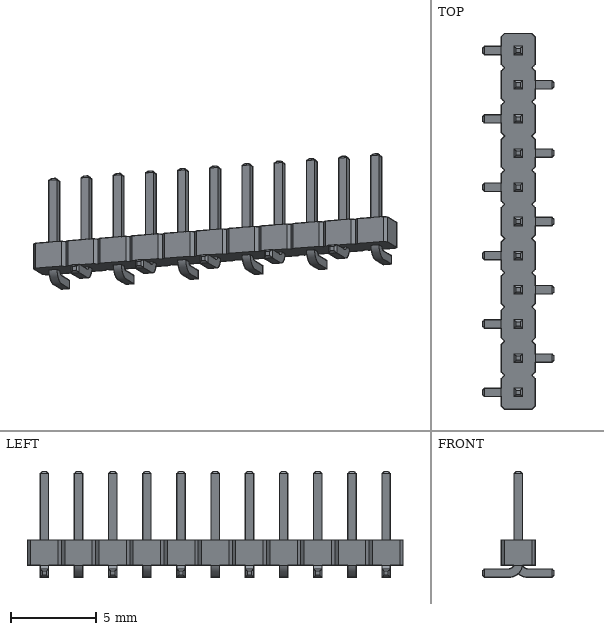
import cadquery as cq

LENGTH = 22.0
PIN_COUNT = 11
PITCH = LENGTH / PIN_COUNT
LEG_SPAN = 4.2
TOTAL_HEIGHT = 6.2

BODY_WIDTH = PITCH
BODY_HEIGHT = 1.5
CORNER_CUT = 0.2

PIN_SIZE = 0.5
PIN_RISE = 4.0
TIP_CHAMFER = 0.13
BEND_INNER_RADIUS = 0.3

BEND_OUTER_RADIUS = BEND_INNER_RADIUS + PIN_SIZE
PIN_TOP = BODY_HEIGHT + PIN_RISE
LEG_BOTTOM = PIN_TOP - TOTAL_HEIGHT
LEG_REACH = LEG_SPAN / 2
BEND_CENTER_X = PIN_SIZE / 2 - BEND_OUTER_RADIUS
BEND_CENTER_Z = LEG_BOTTOM + BEND_OUTER_RADIUS


def make_segment(center_y):
    """One housing cell; the cut corners of neighbours form the V notches."""
    return (
        cq.Workplane("XY")
        .center(0, center_y)
        .rect(BODY_WIDTH, PITCH)
        .extrude(BODY_HEIGHT)
        .edges("|Z")
        .chamfer(CORNER_CUT)
    )


def make_pin():
    """Upright pin at Y = 0, bent at the bottom into a leg pointing toward -X."""
    path = (
        cq.Workplane("XZ")
        .moveTo(0, PIN_TOP)
        .lineTo(0, BEND_CENTER_Z)
        .radiusArc(
            (BEND_CENTER_X, LEG_BOTTOM + PIN_SIZE / 2),
            BEND_INNER_RADIUS + PIN_SIZE / 2,
        )
        .lineTo(-LEG_REACH, LEG_BOTTOM + PIN_SIZE / 2)
    )
    pin = cq.Workplane("XY", origin=(0, 0, PIN_TOP)).rect(PIN_SIZE, PIN_SIZE).sweep(path)
    return pin.faces(">Z or <X").chamfer(TIP_CHAMFER)


left_pin = make_pin()
right_pin = left_pin.rotate((0, 0, 0), (0, 0, 1), 180)

header = cq.Workplane("XY")
for index in range(PIN_COUNT):
    center_y = (index - (PIN_COUNT - 1) / 2) * PITCH
    pin = left_pin if index % 2 == 0 else right_pin
    header = header.union(make_segment(center_y))
    header = header.union(pin.translate((0, center_y, 0)))

result = header.solids()